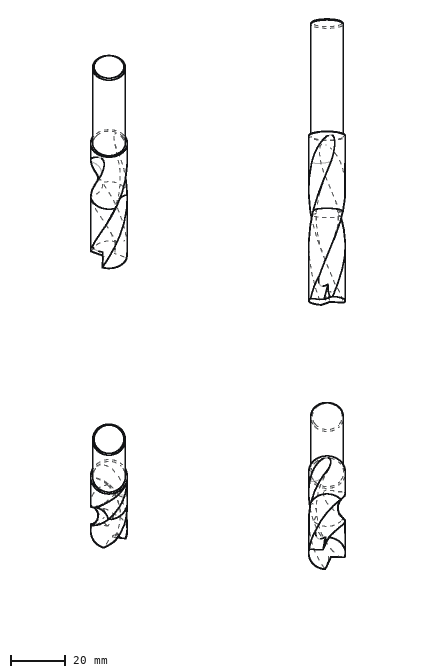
import cadquery as cq
import math

total_length = 105.0
body_diameter = 13.4
shank_diameter = 12.0
body_length = 62.3
tip_length = 33.2
shank_chamfer = 0.5
body_radius = body_diameter / 2

flute_count = 2
helix_lead = 105.0
flute_length = 51.1
runout_length = 9.9
flute_radius = 5.8
web_radius = 4.0
flute_end_angle = -89.0
flute_center_radius = web_radius + flute_radius
twist_per_length = 360 / helix_lead
flute_start_angle = flute_end_angle - flute_length * twist_per_length
flute_pitch_angle = 360 / flute_count

runout_steps = 5
runout_power = 1.5
runout_overshoot = 1.2

gash_apex_x = -0.3
gash_apex_y = -2.1
gash_lean_x = 0.42
gash_lean_y = -0.28
gash_side_angles = (217.0, -33.0)
gash_side_length = 15.8
gash_height = 12.6


def flute_helix():
    """Full-depth stretch of one flute."""
    return (
        cq.Workplane("XY")
        .pushPoints([(flute_center_radius, 0)])
        .circle(flute_radius)
        .twistExtrude(flute_length, flute_length * twist_per_length)
        .rotate((0, 0, 0), (0, 0, 1), flute_start_angle)
    )


def flute_runout():
    """Shallowing stretch that lifts one flute out through the body surface."""
    depth = body_radius - web_radius
    sections = []
    for step in range(runout_steps + 1):
        progress = runout_overshoot * step / runout_steps
        rise = progress * runout_length
        distance = flute_center_radius + depth * progress**runout_power
        angle = math.radians(flute_end_angle + rise * twist_per_length)
        center = cq.Vector(
            distance * math.cos(angle),
            distance * math.sin(angle),
            flute_length + rise,
        )
        sections.append(cq.Wire.makeCircle(flute_radius, center, cq.Vector(0, 0, 1)))
    return cq.Workplane(cq.Solid.makeLoft(sections))


def gash():
    """Leaning triangular prism that notches the end of one flute."""
    apex = cq.Vector(gash_apex_x, gash_apex_y, 0)
    corners = [apex]
    for side_angle in gash_side_angles:
        angle = math.radians(side_angle)
        corners.append(apex + cq.Vector(math.cos(angle), math.sin(angle), 0) * gash_side_length)
    lean = cq.Vector(gash_lean_x, gash_lean_y, 1) * gash_height
    outline = cq.Wire.makePolygon(corners, close=True)
    return cq.Workplane(cq.Solid.extrudeLinear(outline, [], lean))


def cut_around(body, cutter):
    """Cut the same shape at every flute position around the axis."""
    for index in range(flute_count):
        body = body.cut(cutter.rotate((0, 0, 0), (0, 0, 1), index * flute_pitch_angle))
    return body


def make_cutting_tip():
    tip = cq.Workplane("XY").circle(body_radius).extrude(tip_length)
    tip = cut_around(tip, flute_helix())
    return cut_around(tip, gash())


def make_shank_body():
    fluted = cq.Workplane("XY").workplane(offset=tip_length).circle(body_radius)
    fluted = fluted.extrude(body_length - tip_length)
    fluted = cut_around(fluted, flute_helix())
    fluted = cut_around(fluted, flute_runout())
    shank = (
        cq.Workplane("XY")
        .workplane(offset=body_length)
        .circle(shank_diameter / 2)
        .extrude(total_length - body_length)
        .faces(">Z")
        .chamfer(shank_chamfer)
    )
    return fluted.union(shank)


cutting_tip = make_cutting_tip()
shank_body = make_shank_body()

result = cq.Compound.makeCompound([cutting_tip.solids().val(), shank_body.solids().val()])